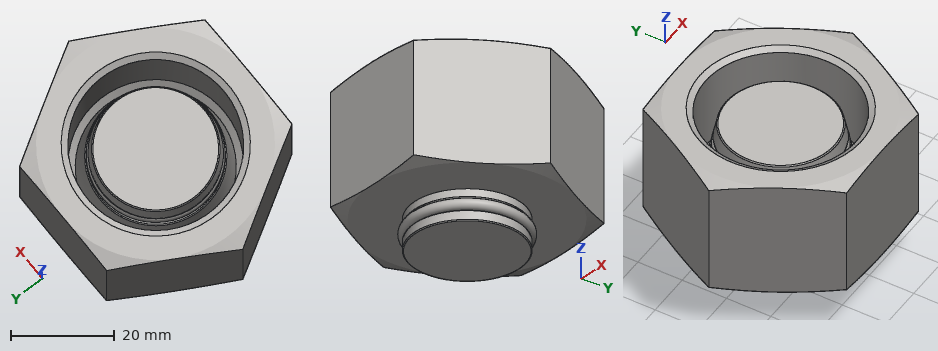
import cadquery as cq
import math

ACROSS_CORNERS = 53.1
FLAT_RADIUS = ACROSS_CORNERS / 2 * math.cos(math.radians(30))
NUT_BOTTOM = 6.9
NUT_TOP = 33.9
CORNER_CHAMFER_ANGLE = 15.0
BORE_RADIUS = 33.85 / 2
COUNTERSINK_RADIUS = 18.2
COUNTERSINK_DEPTH = 0.8

STUB_RADIUS = 25.0 / 2
PLUG_TOP = 29.95
PLUG_TOP_RADIUS = 12.3
PLUG_RIM_RADIUS = 15.5
CONE_HALF_ANGLE = 12.0
EDGE_CHAMFER = 0.2

RING_INNER_RADIUS = 22.0 / 2
RING_SECTION_RADIUS = 2.4 / 2
GROOVE_WIDTH = 2.65
STUB_GROOVE_BOTTOM = 2.35
CONE_GROOVE_BOTTOM = 23.7
STUB_RING_HEIGHT = STUB_GROOVE_BOTTOM + GROOVE_WIDTH / 2
CONE_RING_HEIGHT = CONE_GROOVE_BOTTOM + GROOVE_WIDTH / 2

CONE_SLOPE = math.tan(math.radians(CONE_HALF_ANGLE))
RIM_HEIGHT = PLUG_TOP - (PLUG_RIM_RADIUS - PLUG_TOP_RADIUS) / CONE_SLOPE
SEAT_BOTTOM = RIM_HEIGHT - (PLUG_RIM_RADIUS - STUB_RADIUS)
SEAT_TOP = SEAT_BOTTOM + BORE_RADIUS - STUB_RADIUS


def revolve_about_z(points):
    """Revolve a closed outline of (radius, height) points about the Z axis."""
    return cq.Workplane("XZ").polyline(points).close().revolve(360, (0, 0, 0), (0, 1, 0))


def cone_radius(height):
    """Radius of the plug's cone at a given height."""
    return PLUG_TOP_RADIUS + (PLUG_TOP - height) * CONE_SLOPE


def make_nut():
    corner_radius = ACROSS_CORNERS / 2
    corner_drop = (corner_radius - FLAT_RADIUS) * math.tan(math.radians(CORNER_CHAMFER_ANGLE))
    hexagon = (
        cq.Workplane("XY", origin=(0, 0, NUT_BOTTOM))
        .polygon(6, ACROSS_CORNERS)
        .extrude(NUT_TOP - NUT_BOTTOM)
    )
    turned_profile = revolve_about_z([
        (STUB_RADIUS, NUT_BOTTOM),
        (FLAT_RADIUS, NUT_BOTTOM),
        (corner_radius, NUT_BOTTOM + corner_drop),
        (corner_radius, NUT_TOP - corner_drop),
        (FLAT_RADIUS, NUT_TOP),
        (COUNTERSINK_RADIUS, NUT_TOP),
        (BORE_RADIUS, NUT_TOP - COUNTERSINK_DEPTH),
        (BORE_RADIUS, SEAT_TOP),
        (STUB_RADIUS, SEAT_BOTTOM),
    ])
    return hexagon.intersect(turned_profile).solids()


def make_plug():
    stub_groove_top = STUB_GROOVE_BOTTOM + GROOVE_WIDTH
    cone_groove_top = CONE_GROOVE_BOTTOM + GROOVE_WIDTH
    chamfered_stub_radius = STUB_RADIUS - EDGE_CHAMFER
    return revolve_about_z([
        (0, 0),
        (chamfered_stub_radius, 0),
        (STUB_RADIUS, EDGE_CHAMFER),
        (STUB_RADIUS, STUB_GROOVE_BOTTOM - EDGE_CHAMFER),
        (chamfered_stub_radius, STUB_GROOVE_BOTTOM),
        (RING_INNER_RADIUS, STUB_GROOVE_BOTTOM),
        (RING_INNER_RADIUS, stub_groove_top),
        (chamfered_stub_radius, stub_groove_top),
        (STUB_RADIUS, stub_groove_top + EDGE_CHAMFER),
        (STUB_RADIUS, SEAT_BOTTOM),
        (PLUG_RIM_RADIUS, RIM_HEIGHT),
        (cone_radius(CONE_GROOVE_BOTTOM - EDGE_CHAMFER), CONE_GROOVE_BOTTOM - EDGE_CHAMFER),
        (cone_radius(CONE_GROOVE_BOTTOM) - EDGE_CHAMFER, CONE_GROOVE_BOTTOM),
        (RING_INNER_RADIUS, CONE_GROOVE_BOTTOM),
        (RING_INNER_RADIUS, cone_groove_top),
        (cone_radius(cone_groove_top) - EDGE_CHAMFER, cone_groove_top),
        (cone_radius(cone_groove_top + EDGE_CHAMFER), cone_groove_top + EDGE_CHAMFER),
        (cone_radius(PLUG_TOP - EDGE_CHAMFER), PLUG_TOP - EDGE_CHAMFER),
        (PLUG_TOP_RADIUS - EDGE_CHAMFER, PLUG_TOP),
        (0, PLUG_TOP),
    ])


def make_seal_ring(height):
    center_radius = RING_INNER_RADIUS + RING_SECTION_RADIUS
    return (
        cq.Workplane("XZ")
        .center(center_radius, height)
        .circle(RING_SECTION_RADIUS)
        .revolve(360, (-center_radius, 0, 0), (-center_radius, 1, 0))
    )


nut = make_nut()
plug = make_plug()
seal_rings = []
for ring_height in (STUB_RING_HEIGHT, CONE_RING_HEIGHT):
    seal_rings.append(make_seal_ring(ring_height).val())

result = cq.Compound.makeCompound([nut.val(), plug.val(), *seal_rings])